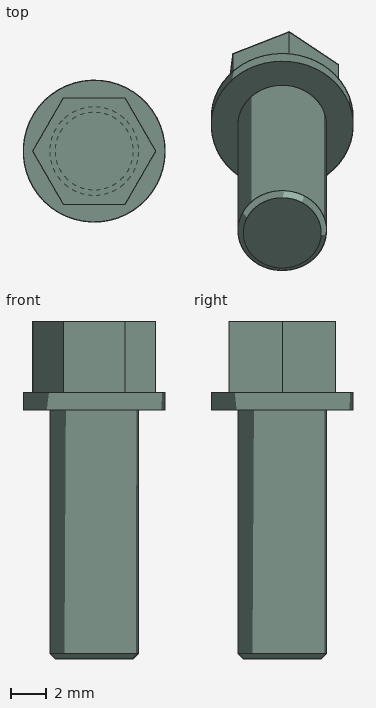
import cadquery as cq
import math

total_length = 19
shank_length = 14.0
shank_diameter = 5.0
flange_diameter = 8.0
flange_thickness = 1.0
hex_across_flats = 6.0
tip_chamfer = 0.3

head_height = total_length - shank_length - flange_thickness
hex_across_corners = hex_across_flats / math.cos(math.pi / 6)

shank = (
    cq.Workplane("XY")
    .circle(shank_diameter / 2)
    .extrude(shank_length)
    .faces("<Z")
    .chamfer(tip_chamfer)
)

flange = (
    cq.Workplane("XY")
    .workplane(offset=shank_length)
    .circle(flange_diameter / 2)
    .extrude(flange_thickness)
)

head = (
    cq.Workplane("XY")
    .workplane(offset=shank_length + flange_thickness)
    .polygon(6, hex_across_corners)
    .extrude(head_height)
)

result = shank.union(flange).union(head)